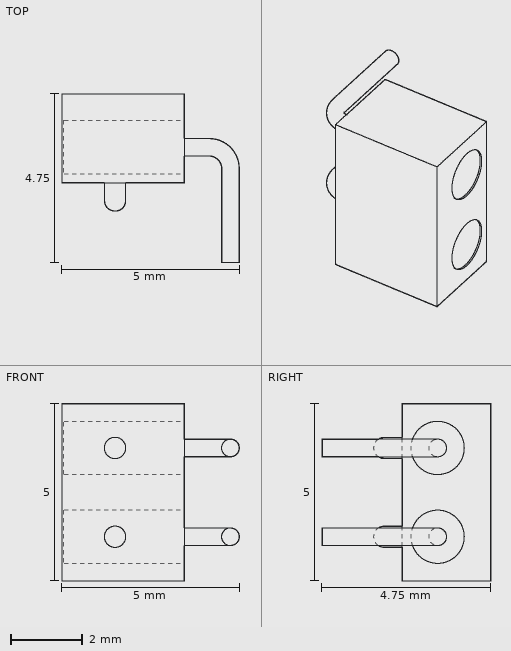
import cadquery as cq

housing_length = 3.45
housing_depth = 2.5
housing_height = 5.0

contact_heights = (housing_height / 4, housing_height * 3 / 4)
contact_y = 1.0
head_diameter = 1.5
head_recess = 0.05

lead_diameter = 0.5
lead_reach = 5.0
lead_tip_y = -2.25
bend_radius = 0.6
lead_x = lead_reach - lead_diameter / 2
bend_start_x = lead_x - bend_radius
bend_end_y = contact_y - bend_radius

peg_diameter = 0.6
peg_length = 0.8
peg_tip_radius = 0.295
peg_x = 1.5


def make_peg(height):
    """Locating peg with a rounded tip pointing to -Y."""
    plane = cq.Plane(origin=(peg_x, 0, height), xDir=(1, 0, 0), normal=(0, -1, 0))
    peg = cq.Workplane(plane).circle(peg_diameter / 2).extrude(peg_length)
    return peg.faces("<Y").edges().fillet(peg_tip_radius)


def contact_plane(x, height):
    """Plane facing +X, centred on a contact's axis."""
    return cq.Plane(origin=(x, contact_y, height), xDir=(0, 1, 0), normal=(1, 0, 0))


def make_housing():
    """Block with a through bore and a locating peg for each contact."""
    block = cq.Workplane("XY").box(housing_length, housing_depth, housing_height, centered=False)
    for height in contact_heights:
        bore = cq.Workplane(contact_plane(0, height)).circle(head_diameter / 2).extrude(housing_length)
        block = block.cut(bore).union(make_peg(height))
    return block


def make_contact(height):
    """Cylindrical head filling the bore, with a lead bent towards -Y."""
    head = (
        cq.Workplane(contact_plane(head_recess, height))
        .circle(head_diameter / 2)
        .extrude(housing_length - head_recess)
    )
    lead_path = (
        cq.Workplane("XY", origin=(0, 0, height))
        .moveTo(housing_length, contact_y)
        .lineTo(bend_start_x, contact_y)
        .tangentArcPoint((lead_x, bend_end_y), relative=False)
        .lineTo(lead_x, lead_tip_y)
    )
    lead = cq.Workplane(contact_plane(housing_length, height)).circle(lead_diameter / 2).sweep(lead_path)
    return head.union(lead)


housing = make_housing()
contacts = [make_contact(height) for height in contact_heights]

result = cq.Compound.makeCompound([housing.val(), *[contact.val() for contact in contacts]])